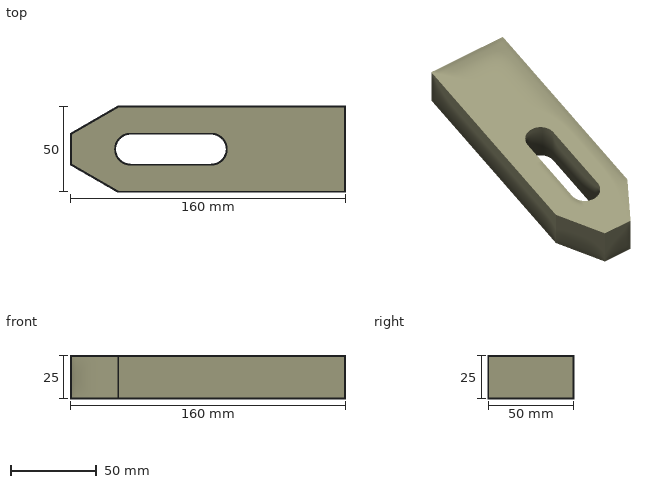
import cadquery as cq
import math

length = 160.0
width = 50.0
thickness = 25.0

nose_width = 18.0
taper_angle = 30.0
taper_length = (width - nose_width) / 2 / math.tan(math.radians(taper_angle))

slot_width = nose_width
slot_length = 65.0
slot_start = 26.0
slot_center = slot_start + slot_length / 2


def make_bar():
    """Extrude the bar with its nose face on the X = 0 plane."""
    outline = [
        (0, -nose_width / 2),
        (taper_length, -width / 2),
        (length, -width / 2),
        (length, width / 2),
        (taper_length, width / 2),
        (0, nose_width / 2),
    ]
    return cq.Workplane("XY").polyline(outline).close().extrude(thickness)


def make_slot():
    """Round-ended cutter running through the full thickness."""
    return (
        cq.Workplane("XY")
        .center(slot_center, 0)
        .slot2D(slot_length, slot_width)
        .extrude(thickness)
    )


result = make_bar().cut(make_slot())